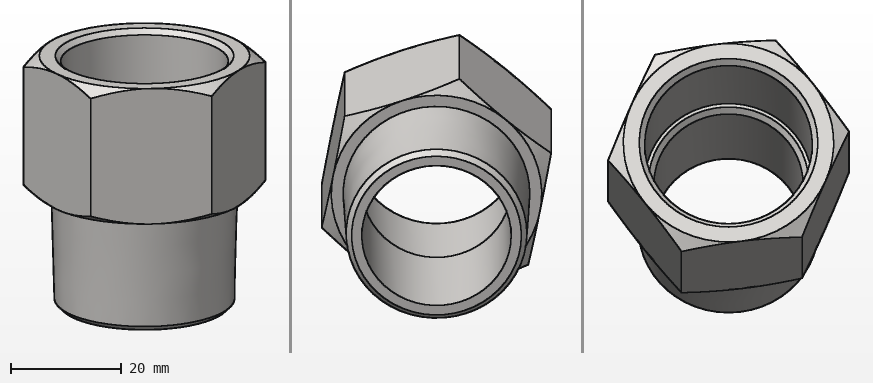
import cadquery as cq
import math

total_height = 47.1
across_flats = 38.0
hex_height = 25.75
hex_base = total_height - hex_height
across_corners = across_flats / math.cos(math.radians(30))

edge_chamfer = 1.0

corner_chamfer_angle = 30.0
corner_drop = (across_corners - across_flats) / 2 * math.tan(math.radians(corner_chamfer_angle))

spigot_top_diameter = 33.72
spigot_tip_diameter = 32.65

bore_diameter = 27.0
socket_diameter = 30.3
socket_depth = 21.65


def revolve_profile(points):
    """Revolve a closed (radius, height) outline about the Z axis."""
    return cq.Workplane("YZ").polyline(points).close().revolve(360, (0, 0), (0, 1))


def make_hexagon():
    prism = (
        cq.Workplane("XY")
        .workplane(offset=hex_base)
        .polygon(6, across_corners)
        .extrude(hex_height)
    )
    envelope = revolve_profile([
        (0, hex_base),
        (across_flats / 2, hex_base),
        (across_corners / 2, hex_base + corner_drop),
        (across_corners / 2, total_height - corner_drop),
        (across_flats / 2, total_height),
        (0, total_height),
    ])
    return prism.intersect(envelope)


def make_spigot():
    return revolve_profile([
        (0, 0),
        (spigot_tip_diameter / 2 - edge_chamfer, 0),
        (spigot_tip_diameter / 2, edge_chamfer),
        (spigot_top_diameter / 2, hex_base),
        (0, hex_base),
    ])


def make_bore():
    socket_floor = total_height - socket_depth
    return revolve_profile([
        (0, 0),
        (bore_diameter / 2, 0),
        (bore_diameter / 2, socket_floor - edge_chamfer),
        (bore_diameter / 2 + edge_chamfer, socket_floor),
        (socket_diameter / 2, socket_floor),
        (socket_diameter / 2, total_height - edge_chamfer),
        (socket_diameter / 2 + edge_chamfer, total_height),
        (0, total_height),
    ])


result = make_hexagon().union(make_spigot()).cut(make_bore())